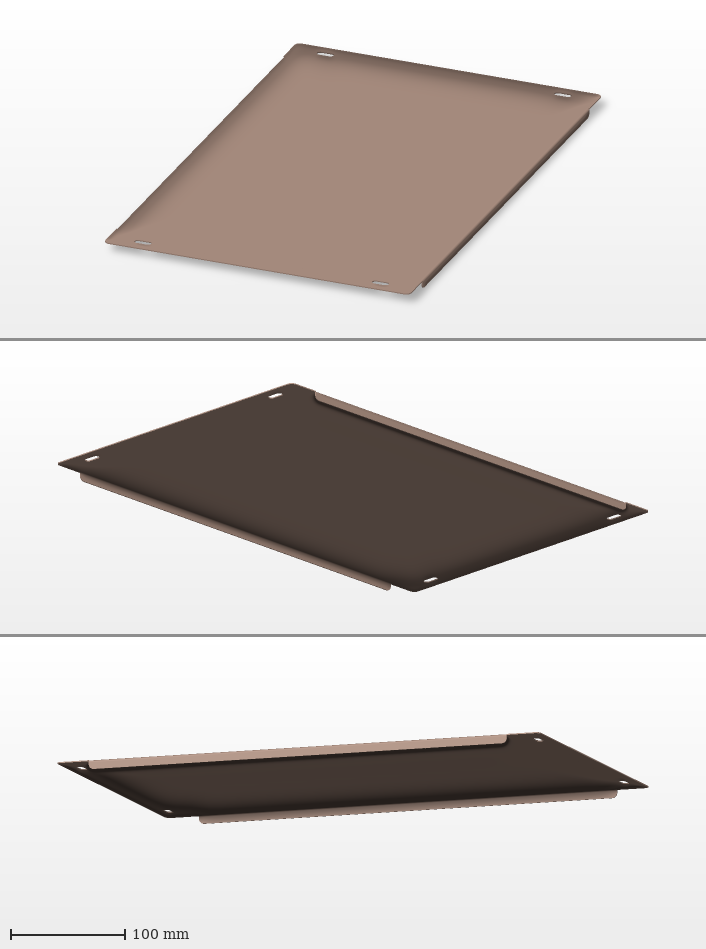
import cadquery as cq

width = 289.0
length = 449.0
height = 8.0
thickness = 1.0
plate_corner_radius = 5.0

bend_inner_radius = 1.0
bend_outer_radius = bend_inner_radius + thickness
flange_length = 388.5
flange_corner_radius = 4.5

slot_length = 15.5
slot_width = 6.5
slot_spacing_x = 224.5
slot_spacing_y = 424.0


def flat_plate():
    """Flat sheet with rounded corners, its upper face at Z = 0."""
    return (
        cq.Workplane("XY")
        .workplane(offset=-thickness)
        .rect(width, length)
        .extrude(thickness)
        .edges("|Z")
        .fillet(plate_corner_radius)
    )


def bend_clearance():
    """Full-depth cut that frees the sheet edges where the flanges bend down."""
    clearance = cq.Workplane("XY").box(width, flange_length, height)
    return clearance.cut(
        cq.Workplane("XY").box(width - 2 * bend_outer_radius, flange_length, height)
    )


def bent_flange(side):
    """Bend and downturned flange on the side given by its sign along X."""
    outer = side * width / 2
    inner = outer - side * thickness
    bend_start = outer - side * bend_outer_radius
    diagonal = 0.5 ** 0.5
    bend_middle_outer = (
        bend_start + side * bend_outer_radius * diagonal,
        -bend_outer_radius * (1 - diagonal),
    )
    bend_middle_inner = (
        bend_start + side * bend_inner_radius * diagonal,
        -bend_outer_radius + bend_inner_radius * diagonal,
    )
    return (
        cq.Workplane("XZ")
        .moveTo(bend_start, 0)
        .threePointArc(bend_middle_outer, (outer, -bend_outer_radius))
        .lineTo(outer, -height)
        .lineTo(inner, -height)
        .lineTo(inner, -bend_outer_radius)
        .threePointArc(bend_middle_inner, (bend_start, -thickness))
        .close()
        .extrude(flange_length / 2, both=True)
        .faces("<Z")
        .edges("|X")
        .fillet(flange_corner_radius)
    )


def mounting_slots():
    """Four round-ended slots, one near each plate corner."""
    return (
        cq.Workplane("XY")
        .workplane(offset=-thickness)
        .rect(slot_spacing_x, slot_spacing_y, forConstruction=True)
        .vertices()
        .slot2D(slot_length, slot_width)
        .extrude(thickness)
    )


result = flat_plate().cut(bend_clearance())
for side in (-1, 1):
    result = result.union(bent_flange(side))
result = result.cut(mounting_slots())